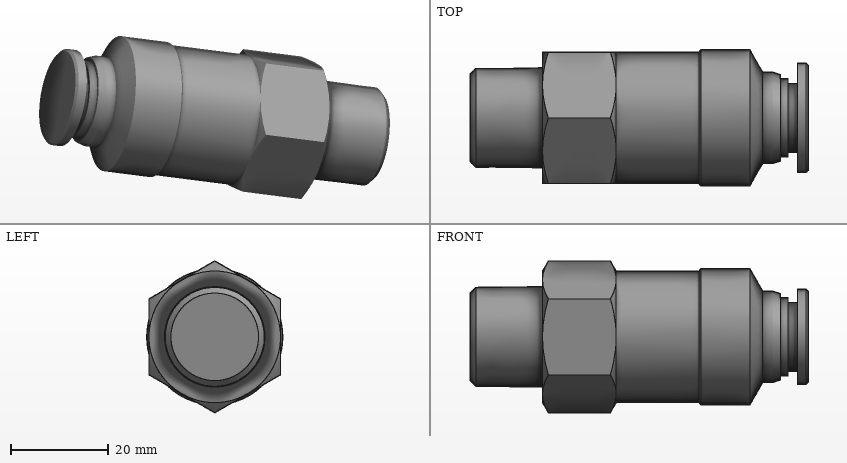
import cadquery as cq
import math

length = 69.5

thread_end_radius = 20.35 / 2
thread_root_radius = 20.65 / 2
thread_chamfer = 1.2

hex_start = 14.9
hex_end = 30.0
hex_across_flats = 27.05
hex_chamfer_angle = 30.0

body_radius = 13.5
collar_radius = 28.0 / 2
collar_start = 47.0
collar_edge_length = 0.4
collar_end = 57.5
cone_end = 60.1

guide_radius = 9.4
guide_tip_radius = 8.9
guide_bevel_start = 62.2
guide_end = 63.7

neck_radius = 8.05
neck_end = 65.3
groove_radius = 7.1
flange_start = 67.2
flange_half_width = 11.25
flange_half_height = 9.8
flange_chamfer = 0.5


def turned(profile):
    """Revolve (x, radius) points, closed along the X axis, about that axis."""
    start_x = profile[0][0]
    end_x = profile[-1][0]
    outline = [(start_x, 0), *profile, (end_x, 0)]
    return cq.Workplane("XZ").polyline(outline).close().revolve(360, (0, 0, 0), (1, 0, 0))


def make_turned_body():
    """Thread, body, collar, guide ring and sleeve neck as one turned piece."""
    return turned([
        (0, thread_end_radius - thread_chamfer),
        (thread_chamfer, thread_end_radius),
        (hex_start, thread_root_radius),
        (hex_start, body_radius),
        (collar_start, body_radius),
        (collar_start + collar_edge_length, collar_radius),
        (collar_end, collar_radius),
        (cone_end, guide_radius),
        (guide_bevel_start, guide_radius),
        (guide_end, guide_tip_radius),
        (guide_end, neck_radius),
        (neck_end, neck_radius),
        (neck_end, groove_radius),
        (flange_start, groove_radius),
    ])


def make_hexagon():
    """Hexagon whose corners are cut by a cone at each end."""
    corner_radius = hex_across_flats / math.sqrt(3)
    face_radius = hex_across_flats / 2
    chamfer_length = (corner_radius - face_radius) * math.tan(math.radians(hex_chamfer_angle))
    prism = (
        cq.Workplane("YZ", origin=(hex_start, 0, 0))
        .transformed(rotate=(0, 0, 90))
        .polygon(6, 2 * corner_radius)
        .extrude(hex_end - hex_start)
    )
    envelope = turned([
        (hex_start, face_radius),
        (hex_start + chamfer_length, corner_radius),
        (hex_end - chamfer_length, corner_radius),
        (hex_end, face_radius),
    ])
    return prism.intersect(envelope)


def make_flange():
    """Oval push flange, wider along Y than along Z, with a chamfered outer face."""
    return (
        cq.Workplane("YZ", origin=(flange_start, 0, 0))
        .ellipse(flange_half_width, flange_half_height)
        .extrude(length - flange_start)
        .faces(">X")
        .chamfer(flange_chamfer)
    )


result = make_turned_body().union(make_hexagon()).union(make_flange())